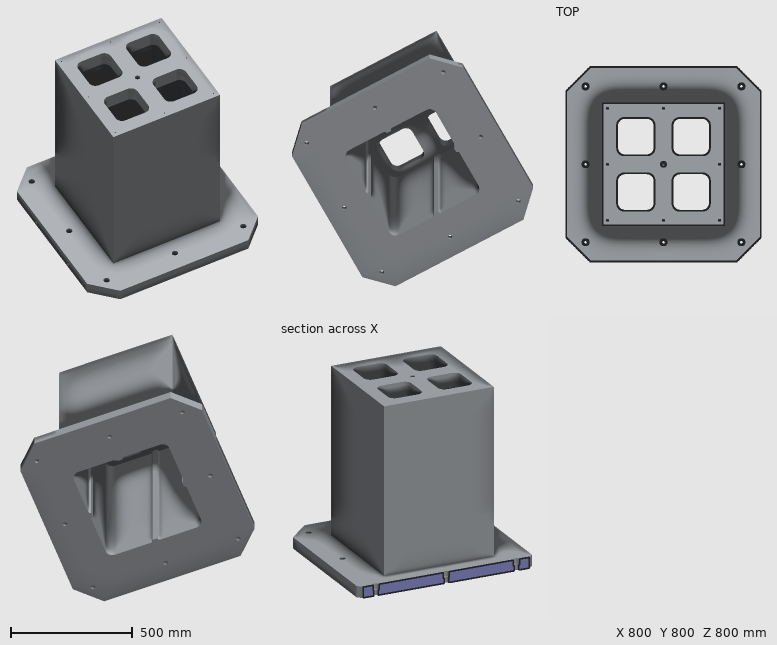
import cadquery as cq
import math

base_side = 800.0
base_thickness = 50.0
base_corner_chamfer = 100.0

total_height = 800.0
column_side = 500.0

top_plate_thickness = 65.0
cavity_side = 420.0
cavity_height = total_height - top_plate_thickness
cavity_corner_radius = 30.0

rib_width = 20.0
rib_height = 10.0
rib_root_radius = 10.0

window_field_side = 380.0
window_web = 75.0
window_side = (window_field_side - window_web) / 2
window_spacing = window_side + window_web
window_corner_radius = 30.0

mount_offset = 320.0
mount_diameter = 18.0
mount_counterbore_diameter = 26.0
mount_counterbore_depth = 25.0

drill_point_angle = 118.0
cover_hole_offset = 230.0
cover_hole_diameter = 5.0
cover_hole_depth = 15.0
center_hole_diameter = 21.0
center_hole_depth = 40.0
side_hole_offset = 135.0
side_hole_height = 18.0
side_hole_diameter = 14.0
side_hole_depth = 40.0


def ring_of_eight(offset):
    """Corners and edge midpoints of a square with the given half side."""
    steps = (-offset, 0.0, offset)
    return [(x, y) for x in steps for y in steps if (x, y) != (0.0, 0.0)]


def drill(diameter, depth):
    """Drill body pointing along -Z, with its mouth at the origin and a conical tip."""
    radius = diameter / 2
    tip_length = radius / math.tan(math.radians(drill_point_angle / 2))
    profile = [(0, 0), (radius, 0), (radius, -depth), (0, -depth - tip_length)]
    return cq.Workplane("XZ").polyline(profile).close().revolve(360, (0, 0), (0, 1))


def outer_body():
    base = cq.Workplane("XY").rect(base_side, base_side).extrude(base_thickness)
    base = base.edges("|Z").chamfer(base_corner_chamfer)
    column = cq.Workplane("XY").rect(column_side, column_side).extrude(total_height)
    return base.union(column)


def rib():
    """Rib on the +Y cavity wall, its sides flaring into the wall with concave quarter rounds."""
    half_width = rib_width / 2
    wall_y = cavity_side / 2
    crest_y = wall_y - rib_height
    root_x = half_width + rib_root_radius
    root_y = wall_y - rib_root_radius
    mid_step = rib_root_radius * math.sqrt(0.5)
    outline = (
        cq.Workplane("XY")
        .moveTo(-root_x, wall_y)
        .threePointArc((-root_x + mid_step, root_y + mid_step), (-half_width, crest_y))
        .lineTo(half_width, crest_y)
        .threePointArc((root_x - mid_step, root_y + mid_step), (root_x, wall_y))
        .close()
    )
    return outline.extrude(cavity_height)


def cavity():
    space = (
        cq.Workplane("XY")
        .rect(cavity_side, cavity_side)
        .extrude(cavity_height)
        .edges("|Z")
        .fillet(cavity_corner_radius)
    )
    for quarter_turn in (0, 90, 180, 270):
        space = space.cut(rib().rotate((0, 0, 0), (0, 0, 1), quarter_turn))
    return space


def windows():
    return (
        cq.Workplane("XY", origin=(0, 0, cavity_height))
        .rarray(window_spacing, window_spacing, 2, 2)
        .rect(window_side, window_side)
        .extrude(top_plate_thickness)
        .edges("|Z")
        .fillet(window_corner_radius)
    )


def add_mounting_holes(body):
    return (
        body.copyWorkplane(cq.Workplane("XY", origin=(0, 0, base_thickness)))
        .pushPoints(ring_of_eight(mount_offset))
        .cboreHole(mount_diameter, mount_counterbore_diameter, mount_counterbore_depth)
    )


def drill_top_holes(body):
    center_drill = drill(center_hole_diameter, center_hole_depth)
    body = body.cut(center_drill.translate((0, 0, total_height)))
    cover_drill = drill(cover_hole_diameter, cover_hole_depth)
    for x, y in ring_of_eight(cover_hole_offset):
        body = body.cut(cover_drill.translate((x, y, total_height)))
    return body


def drill_side_holes(body):
    """Two horizontal holes entering the -Y edge of the base plate."""
    side_drill = drill(side_hole_diameter, side_hole_depth).rotate((0, 0, 0), (1, 0, 0), 90)
    for x in (-side_hole_offset, side_hole_offset):
        body = body.cut(side_drill.translate((x, -base_side / 2, side_hole_height)))
    return body


result = outer_body().cut(cavity()).cut(windows())
result = add_mounting_holes(result)
result = drill_top_holes(result)
result = drill_side_holes(result)